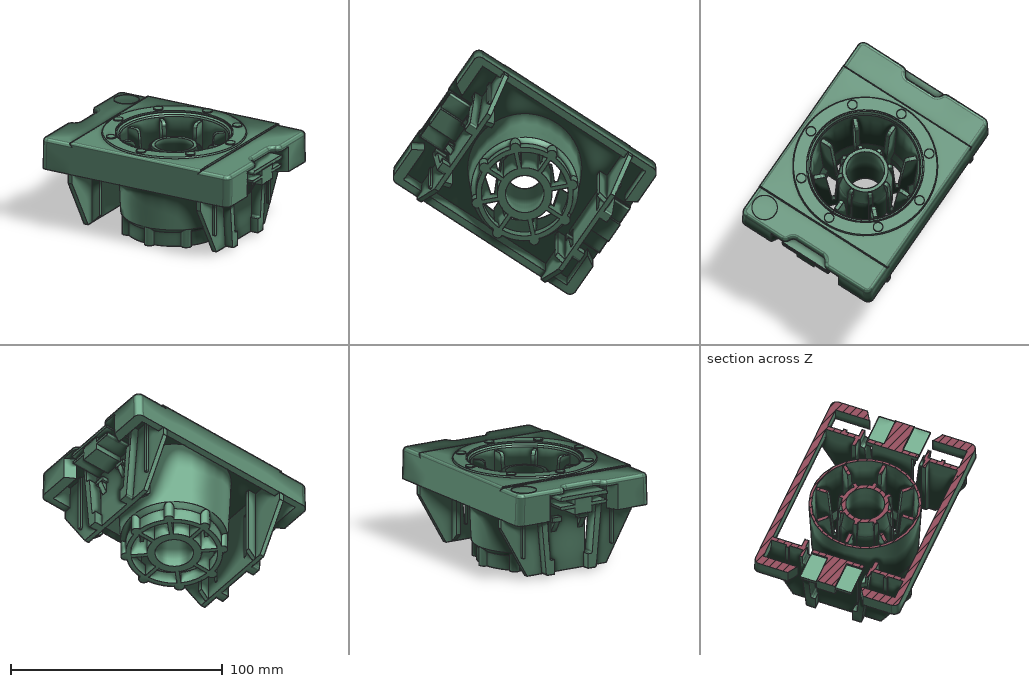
import cadquery as cq
length = 103.0
width = 74.0
base_half_width = 36.9
top_half_width = 36.4
rim_z = 32.9
ceiling_z = 45.4
end_top_z = 48.0
panel_top_z = 48.7
corner_radius = 3.1
end_edge_radius = 1.5
panel_edge_radius = 1.1
wall = 3.4
end_wall = 5.2
clearance = 1.0
panel_half_length = 35.9
panel_root_half_length = 34.4
panel_root_z = 46.5
panel_end_chamfer = 0.4

notch_depth = 4.0
notch_half_mouth = 10.9
notch_half_floor = 9.4
notch_radius = 3.0
jamb_outer_half = 19.1
jamb_inner_half = 16.0
badge_diameter = 12.0
badge_depth = 0.2
badge_x = -43.1
badge_y = 28.4

ring_radius = 34.3
ring_inner_radius = 27.8
ring_top_z = 49.4
ring_top_radius = 33.9
pad_diameter = 4.5
pad_circle_radius = 30.8
pad_top_z = 50.0
spoke_count = 8

socket_top_radius = 27.0
socket_low_radius = 25.3
cup_bottom_z = 9.3
foot_top_z = 7.0
foot_radius = 22.9
foot_inner_radius = 20.5
cup_inner_low_radius = 23.2
cup_inner_top_radius = 25.8
seat_radius = 27.2
lip_radius = 26.3
lip_z = 48.0
cup_rim_z = 47.2
flute_diameter = 4.8

hub_top_z = 42.8
hub_top_radius = 10.8
hub_radius = 12.9
hub_cone_height = 12.4
bore_radius = 9.1
spoke_thickness = 2.0
spoke_outer_radius = 24.7
spoke_top_z = 46.9
spoke_hub_top_z = 41.8
spoke_floor_z = 8.2
spoke_post_top_radius = 19.2
spoke_post_low_radius = 16.1
spoke_valley_radius = 14.4
spoke_hub_post_radius = 13.2
spoke_corner = 2.1

leg_outer_x = -40.4
web_outer_x = -36.4
web_inner_x = -34.1
leg_inner_x = -30.0
leg_bottom_z = 2.9
pillar_top_half = 18.1
pillar_bottom_half = 14.0
pillar_edge_radius = 0.9
inner_rib_outer_y = 18.8
inner_rib_thickness = 2.2
wing_half_width = width / 2
wing_shoulder_z = 28.3
wing_bottom_half = 22.2
wing_rib_y = 24.9
wing_rib_width = 1.6
wing_rib_height = 1.1
wing_rib_end_radius = 0.7
wing_rib_bottom_z = 12.2

channel_half = 9.4
latch_half = 10.1
slot_bottom_z = 10.0
slot_top_z = 34.0
slot_bottom_half = 11.7
slot_top_half = 13.8
window_bottom_z = 34.5
window_radius = 0.9
head_half = 13.1
head_top_z = 43.6
head_top_thickness = 1.9
head_ledge_z = 37.2
head_ledge_thickness = 1.5
head_core_half = 4.8
head_core_bottom_z = 33.9
head_core_x = -51.0
head_radius = 1.0
shelf_bottom_z = 28.0
shelf_thickness = 2.3
shelf_reach = 3.1
shelf_inner_y = 4.8
gusset_inner_y = 6.0
gusset_outer_y = 8.8
gusset_bottom_z = 22.7


def box(x_range, y_range, z_range):
    """Axis-aligned box from its limits."""
    sizes = [high - low for low, high in (x_range, y_range, z_range)]
    corner = (x_range[0], y_range[0], z_range[0])
    return cq.Workplane("XY").box(*sizes, centered=False).translate(corner)


def prism_along_x(points, x_start, x_end):
    """Prism with a (y, z) outline, running along X."""
    outline = cq.Workplane("YZ", origin=(x_start, 0, 0)).polyline(points).close()
    return outline.extrude(x_end - x_start)


def symmetric_prism(half_outline, x_start, x_end):
    """Prism along X whose (y, z) half outline is mirrored across Y."""
    mirrored = [(-y, z) for y, z in reversed(half_outline)]
    return prism_along_x(half_outline + mirrored, x_start, x_end)


def both_ends(body):
    return body.union(body.mirror("YZ"))


def both_sides(body):
    return body.union(body.mirror("XZ"))


def turned(points):
    """Body of revolution about Z from an (r, z) outline."""
    return cq.Workplane("XZ").polyline(points).close().revolve(360, (0, 0), (0, 1))


def drafted_half_width(z):
    share = (z - rim_z) / (end_top_z - rim_z)
    return base_half_width + share * (top_half_width - base_half_width)


def end_notch():
    outer = length / 2 + clearance
    floor = length / 2 - notch_depth
    slope = (notch_half_mouth - notch_half_floor) / notch_depth
    mouth = notch_half_mouth + slope * clearance
    outline = [(-outer, -mouth), (-floor, -notch_half_floor), (-floor, notch_half_floor), (-outer, mouth)]
    return cq.Workplane("XY", origin=(0, 0, ceiling_z)).polyline(outline).close().extrude(wall)


def end_opening():
    outer = length / 2
    inner = outer - end_wall
    outline = [
        (-outer, -jamb_outer_half), (-inner, -jamb_inner_half), (clearance - inner, -jamb_inner_half),
        (clearance - inner, jamb_inner_half), (-inner, jamb_inner_half), (-outer, jamb_outer_half),
    ]
    return cq.Workplane("XY", origin=(0, 0, rim_z)).polyline(outline).close().extrude(ceiling_z - rim_z)


def end_body():
    """Drafted block with notched ends and rounded top edges."""
    block = symmetric_prism(
        [(base_half_width, rim_z), (top_half_width, end_top_z)], -length / 2, length / 2
    )
    corners = block.faces("<X or >X").edges("not #Z").edges("not |Y")
    block = corners.fillet(corner_radius)
    block = block.cut(both_ends(end_notch()))
    notch_limit = notch_half_mouth + clearance
    upright = cq.selectors.BoxSelector(
        (-length, -notch_limit, ceiling_z), (length, notch_limit, panel_top_z)
    )
    block = block.edges("|Z").edges(upright).fillet(notch_radius)
    return block.faces(">Z").edges().fillet(end_edge_radius)


def panel():
    """Raised middle panel with undercut ends and rounded long edges."""
    strip = symmetric_prism(
        [(drafted_half_width(ceiling_z), ceiling_z), (drafted_half_width(panel_top_z), panel_top_z)],
        -panel_half_length, panel_half_length,
    )
    strip = strip.faces(">Z").edges("|X").fillet(panel_edge_radius)
    root = panel_root_half_length
    lip = panel_end_chamfer
    ends = [
        (-root, ceiling_z), (root, ceiling_z), (root, panel_root_z),
        (panel_half_length, end_top_z),
        (panel_half_length, panel_top_z - lip), (panel_half_length - lip, panel_top_z),
        (lip - panel_half_length, panel_top_z), (-panel_half_length, panel_top_z - lip),
        (-panel_half_length, end_top_z), (-root, panel_root_z),
    ]
    limits = cq.Workplane("XZ").polyline(ends).close().extrude(base_half_width, both=True)
    return strip.intersect(limits)


def plate():
    cavity = symmetric_prism(
        [(base_half_width - wall, rim_z), (drafted_half_width(ceiling_z) - wall, ceiling_z)],
        end_wall - length / 2, length / 2 - end_wall,
    )
    badge = cq.Workplane("XY", origin=(badge_x, badge_y, end_top_z - badge_depth))
    badge = badge.circle(badge_diameter / 2).extrude(badge_depth)
    shell = end_body().union(panel()).cut(cavity)
    return shell.cut(both_ends(end_opening())).cut(badge)


def ring():
    disc = turned([
        (0, ceiling_z), (ring_radius, ceiling_z), (ring_radius, panel_top_z),
        (ring_top_radius, ring_top_z), (0, ring_top_z),
    ])
    pads = cq.Workplane("XY", origin=(0, 0, ceiling_z))
    pads = pads.polarArray(pad_circle_radius, 0, 360, spoke_count)
    return disc.union(pads.circle(pad_diameter / 2).extrude(pad_top_z - ceiling_z))


def socket():
    cup = turned([
        (0, 0), (foot_radius, 0), (foot_radius, foot_top_z), (socket_low_radius, cup_bottom_z),
        (socket_top_radius, ceiling_z), (0, ceiling_z),
    ])
    flutes = cq.Workplane("XY")
    flutes = flutes.polarArray(socket_low_radius - flute_diameter / 2, 0, 360, spoke_count)
    return cup.union(flutes.circle(flute_diameter / 2).extrude(cup_bottom_z))


def socket_hollow():
    return turned([
        (0, 0), (foot_inner_radius, 0), (foot_inner_radius, foot_top_z),
        (cup_inner_low_radius, cup_bottom_z), (cup_inner_top_radius, cup_rim_z),
        (lip_radius, lip_z), (seat_radius, panel_top_z), (ring_inner_radius, panel_top_z),
        (ring_inner_radius, ring_top_z), (0, ring_top_z),
    ])


def spoke():
    """Web from hub to cup wall: a short inner post, a valley and a tall outer post."""
    outline = (
        cq.Workplane("XZ", origin=(0, spoke_thickness / 2, 0))
        .moveTo(bore_radius, 0)
        .lineTo(foot_inner_radius, 0)
        .lineTo(foot_inner_radius, foot_top_z)
        .lineTo(spoke_outer_radius, cup_bottom_z)
        .lineTo(spoke_outer_radius, spoke_top_z)
        .lineTo(spoke_post_top_radius + spoke_corner, spoke_top_z)
        .radiusArc((spoke_post_top_radius, spoke_top_z - spoke_corner), -spoke_corner)
        .lineTo(spoke_post_low_radius, spoke_floor_z)
        .lineTo(spoke_valley_radius, spoke_floor_z)
        .lineTo(spoke_hub_post_radius, spoke_hub_top_z - spoke_corner)
        .radiusArc((spoke_hub_post_radius - spoke_corner, spoke_hub_top_z), -spoke_corner)
        .lineTo(bore_radius, spoke_hub_top_z)
        .close()
    )
    return outline.extrude(spoke_thickness)


def hub_and_spokes():
    hub = turned([
        (0, 0), (hub_radius, 0), (hub_radius, hub_top_z - hub_cone_height),
        (hub_top_radius, hub_top_z), (0, hub_top_z),
    ])
    for index in range(spoke_count):
        hub = hub.union(spoke().rotate((0, 0, 0), (0, 0, 1), index * 360 / spoke_count))
    bore = cq.Workplane("XY").circle(bore_radius).extrude(hub_top_z)
    return hub.cut(bore)


def wings():
    inside_half = base_half_width - wall
    web = symmetric_prism(
        [
            (wing_bottom_half, leg_bottom_z), (wing_half_width, wing_shoulder_z),
            (wing_half_width, rim_z), (inside_half, rim_z), (inside_half, ceiling_z),
        ],
        web_outer_x, web_inner_x,
    )
    rib_half = wing_rib_width / 2
    rib = box(
        (web_outer_x - wing_rib_height, web_inner_x),
        (wing_rib_y - rib_half, wing_rib_y + rib_half),
        (wing_rib_bottom_z, ceiling_z),
    )
    rib = rib.faces("<Z").edges("|X").fillet(wing_rib_end_radius)
    return web.union(both_sides(rib))


def pillars():
    block = symmetric_prism(
        [(pillar_bottom_half, leg_bottom_z), (pillar_top_half, ceiling_z)], leg_outer_x, web_inner_x
    )
    return block.faces("<Z").edges("|X").fillet(pillar_edge_radius)


def inner_ribs():
    """Pair of ribs behind the web, bevelled at their lower inner corner."""
    bevel = leg_inner_x - web_inner_x
    outline = [
        (web_inner_x, leg_bottom_z), (leg_inner_x, leg_bottom_z + bevel),
        (leg_inner_x, ceiling_z), (web_inner_x, ceiling_z),
    ]
    rib = cq.Workplane("XZ", origin=(0, inner_rib_outer_y, 0)).polyline(outline).close()
    return both_sides(rib.extrude(inner_rib_thickness))


def latch_clearance():
    """Space between the pillars, wider beside the latch and around its head."""
    space = symmetric_prism(
        [
            (channel_half, 0), (channel_half, slot_bottom_z), (slot_bottom_half, slot_bottom_z),
            (slot_top_half, slot_top_z), (jamb_inner_half, window_bottom_z), (jamb_inner_half, ceiling_z),
        ],
        leg_outer_x, leg_inner_x,
    )
    rounded = [
        (slot_bottom_half, slot_bottom_z), (jamb_inner_half, window_bottom_z), (jamb_inner_half, ceiling_z),
    ]
    middle_x = (leg_outer_x + leg_inner_x) / 2
    for y, z in rounded:
        for side in (-y, y):
            edge = cq.selectors.NearestToPointSelector((middle_x, side, z))
            space = space.edges("|X").edges(edge).fillet(window_radius)
    return space


def latch():
    tongue = box((web_outer_x, web_inner_x), (-latch_half, latch_half), (slot_bottom_z, head_top_z))
    root = box((web_outer_x, web_inner_x), (-channel_half, channel_half), (leg_bottom_z, slot_bottom_z))
    head_y = (-head_half, head_half)
    ledge_top_z = head_ledge_z + head_ledge_thickness
    cap_bottom_z = head_top_z - head_top_thickness
    cap = box((-length / 2, web_inner_x), head_y, (cap_bottom_z, head_top_z))
    cap = cap.faces(">Z").edges("|X").fillet(head_radius)
    ledge = box((head_core_x, web_inner_x), head_y, (head_ledge_z, ledge_top_z))
    ledge = ledge.faces("<Z").edges("|X").fillet(head_radius)
    core = box(
        (head_core_x, web_inner_x), (-head_core_half, head_core_half), (head_core_bottom_z, head_top_z)
    )
    back = box((web_outer_x, web_inner_x), head_y, (ledge_top_z, cap_bottom_z))
    shelf_x = web_outer_x - shelf_reach
    shelf = box(
        (shelf_x, web_inner_x), (shelf_inner_y, latch_half),
        (shelf_bottom_z, shelf_bottom_z + shelf_thickness),
    )
    brace = [(web_outer_x, gusset_bottom_z), (web_outer_x, shelf_bottom_z), (shelf_x, shelf_bottom_z)]
    gusset = cq.Workplane("XZ", origin=(0, gusset_outer_y, 0)).polyline(brace).close()
    gusset = gusset.extrude(gusset_outer_y - gusset_inner_y)
    body = tongue.union(root).union(cap).union(ledge).union(core).union(back)
    return body.union(both_sides(shelf.union(gusset)))


def leg():
    return wings().union(pillars()).union(inner_ribs()).cut(latch_clearance()).union(latch())


body = plate().union(ring()).union(socket()).cut(socket_hollow())
result = body.union(hub_and_spokes()).union(both_ends(leg()))